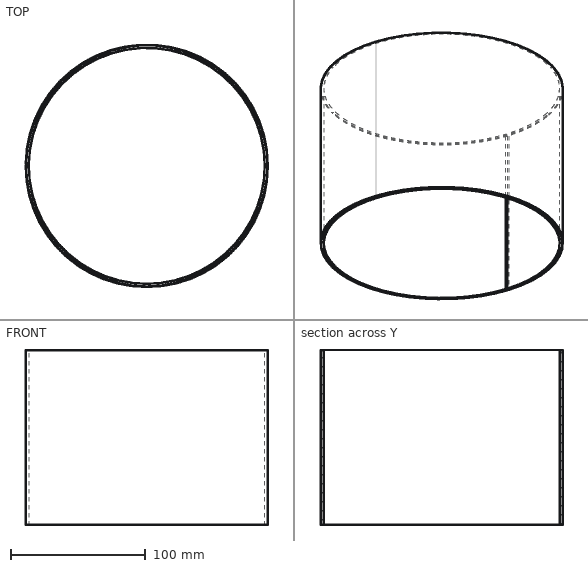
import cadquery as cq
import math

outer_diameter = 180.0
wall_thickness = 2.5
sleeve_length = 130.0
outer_rim_chamfer = 0.5
inner_rim_chamfer = 0.2
slit_angle = 1.0

outer_radius = outer_diameter / 2
inner_radius = outer_radius - wall_thickness


def make_tube():
    """Plain tube centred on the origin."""
    return (
        cq.Workplane("XY", origin=(0, 0, -sleeve_length / 2))
        .circle(outer_radius)
        .circle(inner_radius)
        .extrude(sleeve_length)
    )


def chamfer_rims(tube):
    """Break the edges of both end faces, more strongly on the outside than on the bore."""
    outer_rims = cq.selectors.RadiusNthSelector(-1)
    inner_rims = cq.selectors.RadiusNthSelector(0)
    tube = tube.faces("|Z").edges(outer_rims).chamfer(outer_rim_chamfer)
    return tube.faces("|Z").edges(inner_rims).chamfer(inner_rim_chamfer)


def make_slit_cutter():
    """Full-length wedge with its tip on the axis, reaching past the outside of the -X wall."""
    reach = outer_radius + wall_thickness
    far_width = reach * math.tan(math.radians(slit_angle))
    return (
        cq.Workplane("XY", origin=(0, 0, -sleeve_length / 2))
        .moveTo(0, 0)
        .lineTo(-reach, 0)
        .lineTo(-reach, far_width)
        .close()
        .extrude(sleeve_length)
    )


result = chamfer_rims(make_tube()).cut(make_slit_cutter())